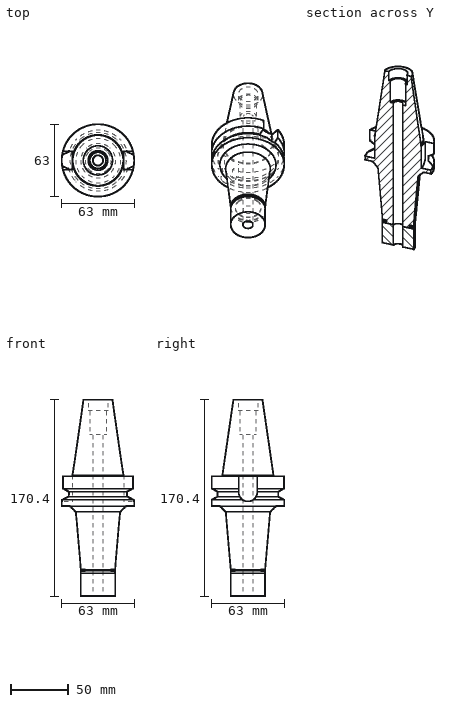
import cadquery as cq
import math


GAUGE_DIAMETER = 44.45
TAPER_RATIO = 7 / 24
SHANK_TOP = 65.4
SHANK_TOP_DIAMETER = GAUGE_DIAMETER - SHANK_TOP * TAPER_RATIO
RELIEF_DIAMETER = 43.5

FLANGE_DIAMETER = 63.0
FLANGE_TOP = -1.0
FLANGE_BOTTOM = -27.0
GROOVE_CENTRE = -16.6
GROOVE_FLOOR_DIAMETER = 53.0
GROOVE_FLOOR_WIDTH = 4.1
GROOVE_SIDE_ANGLE = 30.0
GROOVE_DEPTH = (FLANGE_DIAMETER - GROOVE_FLOOR_DIAMETER) / 2
GROOVE_SIDE_HEIGHT = GROOVE_DEPTH * math.tan(math.radians(GROOVE_SIDE_ANGLE))

SLOT_WIDTH = 16.1
SLOT_FLOOR_X = 22.5
SLOT_BOTTOM = -22.9

COLLAR_DIAMETER = 48.7
COLLAR_HEIGHT = 5.0
NOSE_TOP_DIAMETER = COLLAR_DIAMETER - 2 * COLLAR_HEIGHT
NOSE_BOTTOM_DIAMETER = 30.0
NOSE_BOTTOM = -82.0

TIP_DIAMETER = NOSE_BOTTOM_DIAMETER
TIP_GROOVE_DIAMETER = 22.3
TIP_GROOVE_WIDTH = 1.0
TIP_RING_TOP = NOSE_BOTTOM - TIP_GROOVE_WIDTH
TIP_RING_HEIGHT = 2.0
HOLDER_BOTTOM = TIP_RING_TOP - TIP_RING_HEIGHT

NUT_DIAMETER = TIP_DIAMETER
NUT_HEIGHT = 20.0
NUT_BOTTOM = HOLDER_BOTTOM - NUT_HEIGHT

PILOT_DIAMETER = 17.0
PILOT_DEPTH = 9.0
THREAD_DIAMETER = 14.0
THREAD_DEPTH = 30.0
THROUGH_DIAMETER = 8.7


def cylinder(diameter, bottom, top):
    return cq.Workplane("XY").workplane(offset=bottom).circle(diameter / 2).extrude(top - bottom)


def make_turned_body():
    groove_floor_top = GROOVE_CENTRE + GROOVE_FLOOR_WIDTH / 2
    groove_floor_bottom = GROOVE_CENTRE - GROOVE_FLOOR_WIDTH / 2
    outline = [
        (0, SHANK_TOP),
        (SHANK_TOP_DIAMETER / 2, SHANK_TOP),
        (GAUGE_DIAMETER / 2, 0),
        (RELIEF_DIAMETER / 2, 0),
        (RELIEF_DIAMETER / 2, FLANGE_TOP),
        (FLANGE_DIAMETER / 2, FLANGE_TOP),
        (FLANGE_DIAMETER / 2, groove_floor_top + GROOVE_SIDE_HEIGHT),
        (GROOVE_FLOOR_DIAMETER / 2, groove_floor_top),
        (GROOVE_FLOOR_DIAMETER / 2, groove_floor_bottom),
        (FLANGE_DIAMETER / 2, groove_floor_bottom - GROOVE_SIDE_HEIGHT),
        (FLANGE_DIAMETER / 2, FLANGE_BOTTOM),
        (COLLAR_DIAMETER / 2, FLANGE_BOTTOM),
        (NOSE_TOP_DIAMETER / 2, FLANGE_BOTTOM - COLLAR_HEIGHT),
        (NOSE_BOTTOM_DIAMETER / 2, NOSE_BOTTOM),
        (TIP_GROOVE_DIAMETER / 2, NOSE_BOTTOM),
        (TIP_GROOVE_DIAMETER / 2, TIP_RING_TOP),
        (TIP_DIAMETER / 2, TIP_RING_TOP),
        (TIP_DIAMETER / 2, HOLDER_BOTTOM),
        (0, HOLDER_BOTTOM),
    ]
    return cq.Workplane("YZ").polyline(outline).close().revolve(360, (0, 0, 0), (0, 1, 0))


def make_drive_slot(side):
    """Round-bottomed slot, open at the flange top; side is +1 for +X and -1 for -X."""
    radius = SLOT_WIDTH / 2
    arc_centre = SLOT_BOTTOM + radius
    return (
        cq.Workplane("YZ", origin=(side * SLOT_FLOOR_X, 0, 0))
        .moveTo(-radius, FLANGE_TOP)
        .lineTo(-radius, arc_centre)
        .threePointArc((0, SLOT_BOTTOM), (radius, arc_centre))
        .lineTo(radius, FLANGE_TOP)
        .close()
        .extrude(side * FLANGE_DIAMETER / 2)
    )


def make_stepped_bore():
    return (
        cylinder(PILOT_DIAMETER, SHANK_TOP - PILOT_DEPTH, SHANK_TOP)
        .union(cylinder(THREAD_DIAMETER, SHANK_TOP - THREAD_DEPTH, SHANK_TOP))
        .union(cylinder(THROUGH_DIAMETER, HOLDER_BOTTOM, SHANK_TOP))
    )


def make_holder():
    holder = make_turned_body()
    for side in (1, -1):
        holder = holder.cut(make_drive_slot(side))
    return holder.cut(make_stepped_bore())


def make_nut():
    """Plain round nut with the through hole continued to its lower face."""
    return cylinder(NUT_DIAMETER, NUT_BOTTOM, HOLDER_BOTTOM).cut(
        cylinder(THROUGH_DIAMETER, NUT_BOTTOM, HOLDER_BOTTOM)
    )


holder = make_holder()
nut = make_nut()
result = cq.Compound.makeCompound([holder.val(), nut.val()])